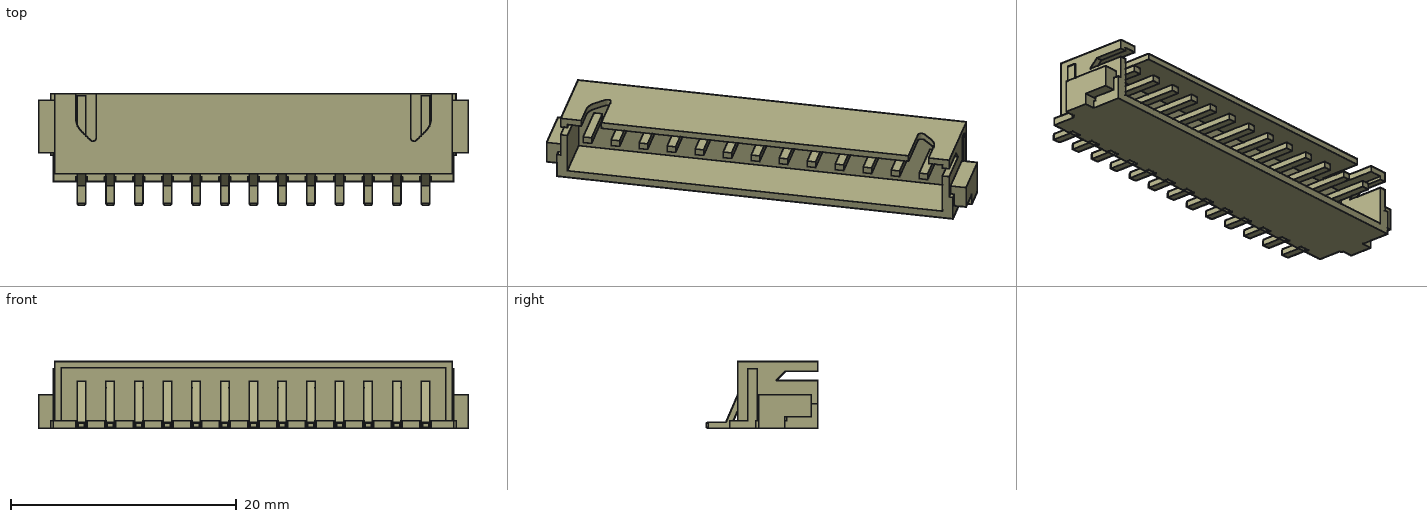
import cadquery as cq
import math


overall_length = 38.07
housing_length = 35.25
housing_depth = 7.12
housing_height = 5.95
end_wall = 0.6
floor_height = 0.7
ceiling_height = 5.35
cavity_depth = 4.65

recess_start = 6.2
recess_top = ceiling_height

strap_projection = 0.1
strap_start = 5.35
strap_top = 5.3
flange_reach = 7.8
flange_slot_width = 1.0
flange_slot_start = 7.4

notch_bottom = 4.25
notch_top = 5.05
notch_depth = 3.65

slot_outer_x = 15.75
slot_width = 1.83
slot_straight = 2.8
slot_depth = slot_straight + slot_width
slot_bend_radius = 1.75
slot_tip_radius = 0.3

tab_start = 0.57
tab_end = 5.25
tab_top = 3.0
tab_underside = 1.03
tab_leg_start = 2.95
rail_projection = 0.35
rail_high_top = 2.2
rail_step = 2.75
rail_end = 5.5

pin_count = 13
pin_row_length = 30.5
pin_width = 0.75
pin_thickness = 0.57
pin_start = 0.2
pin_top = 4.2
upper_bend = 6.6
lower_bend = 8.15
pin_reach = 9.9
tip_length = 0.2
tip_inset = 0.1

half_length = housing_length / 2
pin_pitch = pin_row_length / (pin_count - 1)
pin_centres = [i * pin_pitch - pin_row_length / 2 for i in range(pin_count)]


def block(x_min, x_max, depth_min, depth_max, z_min, z_max):
    """Box between two X positions, two depths and two heights."""
    size = (x_max - x_min, depth_max - depth_min, z_max - z_min)
    return cq.Workplane("XY").box(*size, centered=False).translate((x_min, -depth_max, z_min))


def centred_block(length, depth_min, depth_max, z_min, z_max):
    """Box symmetric about the YZ plane."""
    return block(-length / 2, length / 2, depth_min, depth_max, z_min, z_max)


def side_profile(points, length):
    """Prism along X, centred on X = 0, from (depth, height) points."""
    outline = [(-depth, z) for depth, z in points]
    return cq.Workplane("YZ").polyline(outline).close().extrude(length / 2, both=True)


def polarising_slot():
    """Ceiling slot at the -X end, ending in a 45 degree slant with rounded corners."""
    inner_x = slot_outer_x - slot_width
    outline = [
        (-slot_outer_x, 0),
        (-slot_outer_x, -slot_straight),
        (-inner_x, -slot_depth),
        (-inner_x, 0),
    ]
    height = housing_height - ceiling_height
    slot = cq.Workplane("XY").workplane(offset=ceiling_height).polyline(outline).close().extrude(height)
    middle_z = ceiling_height + height / 2
    bend_edge = cq.selectors.NearestToPointSelector((*outline[1], middle_z))
    tip_edge = cq.selectors.NearestToPointSelector((*outline[2], middle_z))
    slot = slot.edges(bend_edge).fillet(slot_bend_radius)
    return slot.edges(tip_edge).fillet(slot_tip_radius)


def housing():
    """Shroud with mating cavity, pin recess, slotted flange, notches and slots."""
    inner_length = housing_length - 2 * end_wall
    strapped_length = housing_length + 2 * strap_projection
    notch_slope = notch_top - notch_bottom

    body = centred_block(housing_length, 0, housing_depth, 0, housing_height)
    body = body.union(centred_block(strapped_length, strap_start, recess_start, 0, strap_top))
    body = body.union(centred_block(strapped_length, strap_start, flange_reach, 0, floor_height))
    body = body.cut(centred_block(inner_length, 0, cavity_depth, floor_height, ceiling_height))
    body = body.cut(centred_block(inner_length, recess_start, housing_depth, floor_height, recess_top))

    notch = [
        (0, notch_bottom),
        (notch_depth, notch_bottom),
        (notch_depth - notch_slope, notch_top),
        (0, notch_top),
    ]
    body = body.cut(side_profile(notch, housing_length))

    slot = polarising_slot()
    body = body.cut(slot).cut(slot.mirror("YZ"))

    for x in pin_centres:
        half_slot = flange_slot_width / 2
        body = body.cut(block(x - half_slot, x + half_slot, flange_slot_start, flange_reach, 0, floor_height))
    return body


def retention_tab():
    """Stepped rail and L-shaped tab on the -X end."""
    outer_x = -overall_length / 2
    rail_x = -half_length - rail_projection
    tab = block(outer_x, -half_length, tab_start, tab_end, tab_underside, tab_top)
    tab = tab.union(block(outer_x, -half_length, tab_leg_start, tab_end, 0, tab_underside))
    tab = tab.union(block(rail_x, -half_length, 0, rail_step, 0, rail_high_top))
    return tab.union(block(rail_x, -half_length, rail_step, rail_end, 0, floor_height))


def pin():
    """Bent pin centred on X = 0 with a tapered foot tip."""
    slope_angle = math.atan2(pin_top - pin_thickness, lower_bend - upper_bend)
    tip_start = pin_reach - tip_length
    mitre = pin_thickness * math.tan(slope_angle / 2)
    outline = [
        (pin_start, pin_top),
        (upper_bend, pin_top),
        (lower_bend, pin_thickness),
        (tip_start, pin_thickness),
        (tip_start, 0),
        (lower_bend - mitre, 0),
        (upper_bend - mitre, pin_top - pin_thickness),
        (pin_start, pin_top - pin_thickness),
    ]
    bent = side_profile(outline, pin_width)
    tip_taper = math.degrees(math.atan2(tip_inset, tip_length))
    return bent.faces("<Y").wires().toPending().workplane().extrude(tip_length, taper=tip_taper)


result = housing()
tab = retention_tab()
result = result.union(tab).union(tab.mirror("YZ"))
bent_pin = pin()
for x in pin_centres:
    result = result.union(bent_pin.translate((x, 0, 0)))